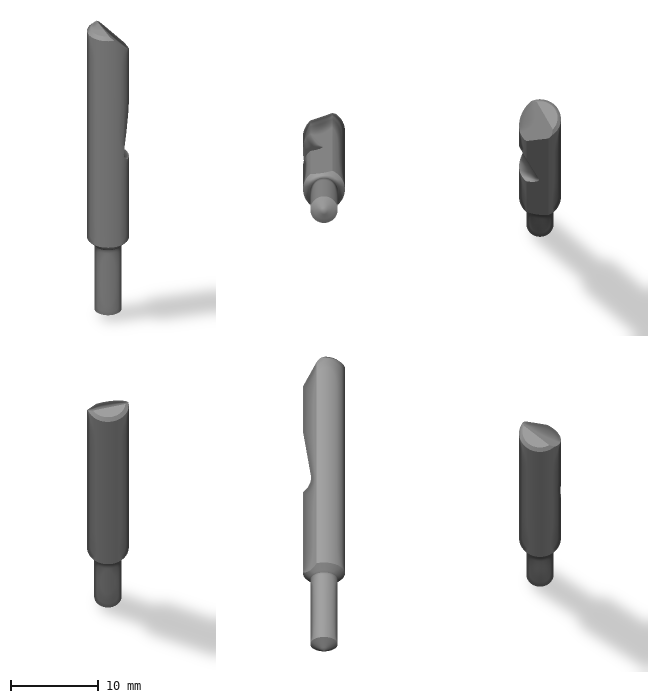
import cadquery as cq
import math

length = 38.1
shank_diameter = 4.75
shank_radius = shank_diameter / 2
stem_radius = 1.55
tip_angle = 120.0
shoulder_end = 9.52
top_chamfer = 0.4
bevel_edge_y = -0.6
flat_distance = 2.02
flat_direction = 142.5
notch_bottom = 21.1
notch_top = 29.87
notch_slope = 10.0
notch_corner_radius = 1.15
margin = 3.8


def make_pin():
    """Turned body: conical tip, stem, shoulder, shank and top chamfer."""
    tip_height = stem_radius / math.tan(math.radians(tip_angle / 2))
    shank_start = shoulder_end + shank_radius - stem_radius
    profile = [
        (0, 0),
        (stem_radius, tip_height),
        (stem_radius, shoulder_end),
        (shank_radius, shank_start),
        (shank_radius, length - top_chamfer),
        (shank_radius - top_chamfer, length),
        (0, length),
    ]
    return cq.Workplane("XZ").polyline(profile).close().revolve(360, (0, 0), (0, 1))


def make_side_flat():
    """Block that planes a flat along the whole shank."""
    block = cq.Workplane("XY").box(margin, 2 * margin, length, centered=(False, True, False))
    return block.translate((flat_distance, 0, 0)).rotate((0, 0, 0), (0, 0, 1), flat_direction)


def make_top_bevel():
    """Wedge above the 45 degree bevel on the +Y side of the top."""
    reach = shank_radius + margin
    wedge = [(bevel_edge_y, length), (reach, length), (reach, length - (reach - bevel_edge_y))]
    return cq.Workplane("YZ").polyline(wedge).close().extrude(margin, both=True)


def make_notch():
    """Notch on the +Y side: sloping floor, square lower wall, rounded corner."""
    depth = (notch_top - notch_bottom) * math.tan(math.radians(notch_slope))
    reach = shank_radius + margin
    outline = [
        (shank_radius, notch_top),
        (shank_radius - depth, notch_bottom),
        (reach, notch_bottom),
        (reach, notch_top),
    ]
    cutter = cq.Workplane("YZ").polyline(outline).close().extrude(margin, both=True)
    return cutter.edges("|X and <Y").fillet(notch_corner_radius)


result = make_pin().cut(make_side_flat()).cut(make_top_bevel()).cut(make_notch())